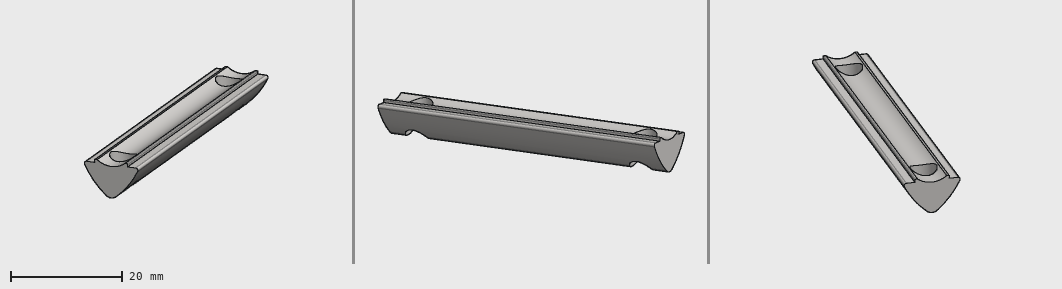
import cadquery as cq
import math

length = 58.0
width = 10.5
height = 6.9

ledge_drop = 0.6
shoulder_radius = 0.435
shoulder_sweep = math.radians(30)

rail_half_width = 3.25
rail_round = 0.2
channel_half_width = 2.7
channel_depth = 0.9

nose_radius = 1.5
nose_sweep = math.radians(45)
flank_bulge = 0.35

hole_diameter = 4.95
hole_spacing = 47.05

ledge_z = height - ledge_drop
shoulder_x = width / 2 - shoulder_radius
shoulder_z = ledge_z - shoulder_radius


def shoulder_point(sweep):
    """Point on the right shoulder at an angle below horizontal."""
    return (
        shoulder_x + shoulder_radius * math.cos(sweep),
        shoulder_z - shoulder_radius * math.sin(sweep),
    )


def nose_point(sweep):
    """Point on the nose at an angle to the right of its lowest point."""
    return (
        nose_radius * math.sin(sweep),
        nose_radius * (1 - math.cos(sweep)),
    )


def flank_middle():
    """Middle of the right flank arc, bulging outward from its chord."""
    top_x, top_z = shoulder_point(shoulder_sweep)
    low_x, low_z = nose_point(nose_sweep)
    chord = math.hypot(top_x - low_x, top_z - low_z)
    return (
        (top_x + low_x) / 2 + flank_bulge * (top_z - low_z) / chord,
        (top_z + low_z) / 2 - flank_bulge * (top_x - low_x) / chord,
    )


def half_bar():
    """Right half of the section, extruded over the length of the bar."""
    channel_radius = (channel_half_width**2 + channel_depth**2) / (2 * channel_depth)
    return (
        cq.Workplane("XZ", origin=(0, length / 2, 0))
        .moveTo(0, height - channel_depth)
        .radiusArc((channel_half_width, height), -channel_radius)
        .lineTo(rail_half_width - rail_round, height)
        .radiusArc((rail_half_width, height - rail_round), rail_round)
        .lineTo(rail_half_width, ledge_z)
        .lineTo(shoulder_x, ledge_z)
        .threePointArc(shoulder_point(0), shoulder_point(shoulder_sweep))
        .threePointArc(flank_middle(), nose_point(nose_sweep))
        .threePointArc(nose_point(nose_sweep / 2), (0, 0))
        .close()
        .extrude(length)
    )


right_half = half_bar()
bar = right_half.union(right_half.mirror("YZ")).clean()

holes = (
    cq.Workplane("XY")
    .pushPoints([(0, -hole_spacing / 2), (0, hole_spacing / 2)])
    .circle(hole_diameter / 2)
    .extrude(height)
)

result = bar.cut(holes)